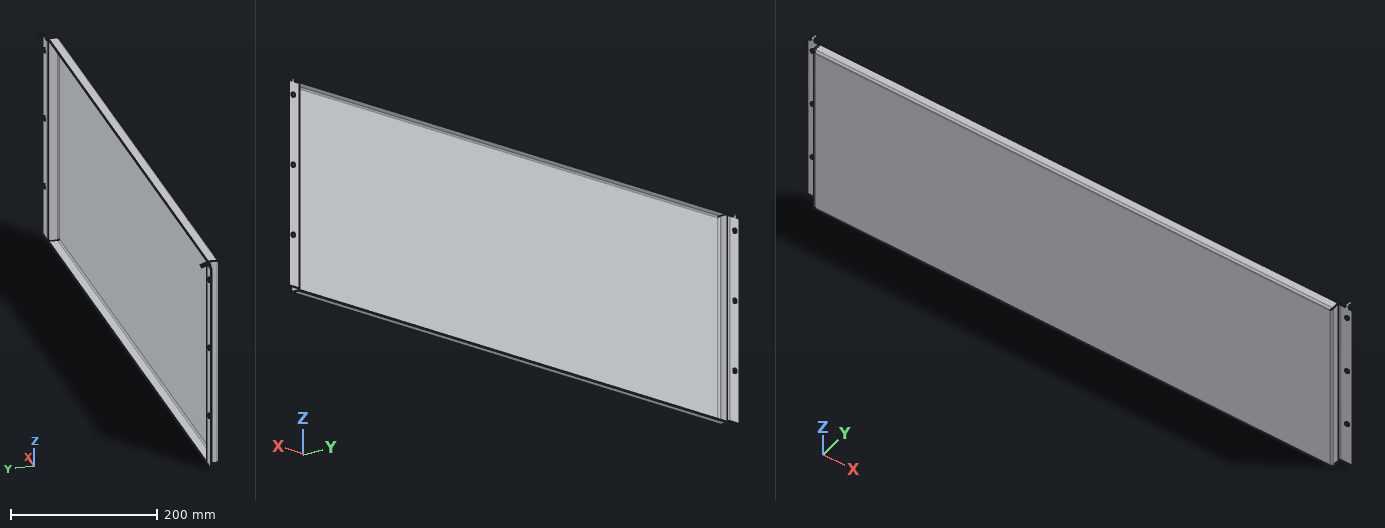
import cadquery as cq
import math

overall_width = 924.0
overall_depth = 30.0
overall_height = 301.0
sheet = 1.5

flange_width = 22.0
tray_width = overall_width - 2 * flange_width
tray_height = 298.0
tray_depth = 17.0
front_bend_radius = 4.0

flange_back = 18.5
flange_margin = 3.0
flange_top = tray_height - flange_margin
flange_bend_radius = 3.0

hole_edge_distance = 9.0
hole_x = overall_width / 2 - hole_edge_distance
hole_diameter = 6.5
hole_pitch = 100.0
top_hole_z = 276.0
hole_count = 3

hook_width = 6.5
hook_slope = math.radians(20)
hook_bend_radius = 3.0


def make_tray():
    tray = (
        cq.Workplane("XY")
        .box(tray_width, tray_depth, tray_height, centered=(True, False, False))
        .faces("<Y")
        .edges()
        .fillet(front_bend_radius)
    )
    return tray.faces(">Y").shell(-sheet)


def make_flange():
    """Right flange, joined to the tray wall by a rounded bend."""
    outer_x = tray_width / 2
    inner_x = outer_x - sheet
    edge_x = overall_width / 2
    front_y = flange_back - sheet
    overlap_y = front_bend_radius
    inside_radius = flange_bend_radius - sheet
    diagonal = 1 - math.sqrt(0.5)
    return (
        cq.Workplane("XY", origin=(0, 0, flange_margin))
        .moveTo(outer_x, overlap_y)
        .lineTo(outer_x, front_y - inside_radius)
        .threePointArc(
            (outer_x + inside_radius * diagonal, front_y - inside_radius * diagonal),
            (outer_x + inside_radius, front_y),
        )
        .lineTo(edge_x, front_y)
        .lineTo(edge_x, flange_back)
        .lineTo(inner_x + flange_bend_radius, flange_back)
        .threePointArc(
            (inner_x + flange_bend_radius * diagonal, flange_back - flange_bend_radius * diagonal),
            (inner_x, flange_back - flange_bend_radius),
        )
        .lineTo(inner_x, overlap_y)
        .close()
        .extrude(flange_top - flange_margin)
    )


def make_hook():
    """Strip rising from the flange, bent over a rounded crest to slope down."""
    inside_radius = hook_bend_radius - sheet
    center_y = flange_back - sheet + hook_bend_radius
    center_z = overall_height - hook_bend_radius
    slope_normal = math.pi / 2 - hook_slope

    def on_bend(radius, angle):
        return (center_y + radius * math.cos(angle), center_z + radius * math.sin(angle))

    outer_end = on_bend(hook_bend_radius, slope_normal)
    inner_end = on_bend(inside_radius, slope_normal)
    tip_length = (overall_depth - outer_end[0]) / math.cos(hook_slope)
    tip_step = (tip_length * math.cos(hook_slope), -tip_length * math.sin(hook_slope))
    middle_angle = (math.pi + slope_normal) / 2
    root_z = flange_top - sheet
    return (
        cq.Workplane("YZ", origin=(hole_x - hook_width / 2, 0, 0))
        .moveTo(flange_back - sheet, root_z)
        .lineTo(flange_back - sheet, center_z)
        .threePointArc(on_bend(hook_bend_radius, middle_angle), outer_end)
        .line(*tip_step)
        .lineTo(inner_end[0] + tip_step[0], inner_end[1] + tip_step[1])
        .lineTo(*inner_end)
        .threePointArc(on_bend(inside_radius, middle_angle), on_bend(inside_radius, math.pi))
        .lineTo(flange_back, root_z)
        .close()
        .extrude(hook_width)
    )


def make_hole_cutters():
    centers = [(hole_x, top_hole_z - row * hole_pitch) for row in range(hole_count)]
    return (
        cq.Workplane("XZ")
        .pushPoints(centers)
        .circle(hole_diameter / 2)
        .extrude(-overall_depth)
    )


right_side = make_flange().union(make_hook()).cut(make_hole_cutters())
left_side = right_side.mirror("YZ")
result = make_tray().union(right_side).union(left_side)